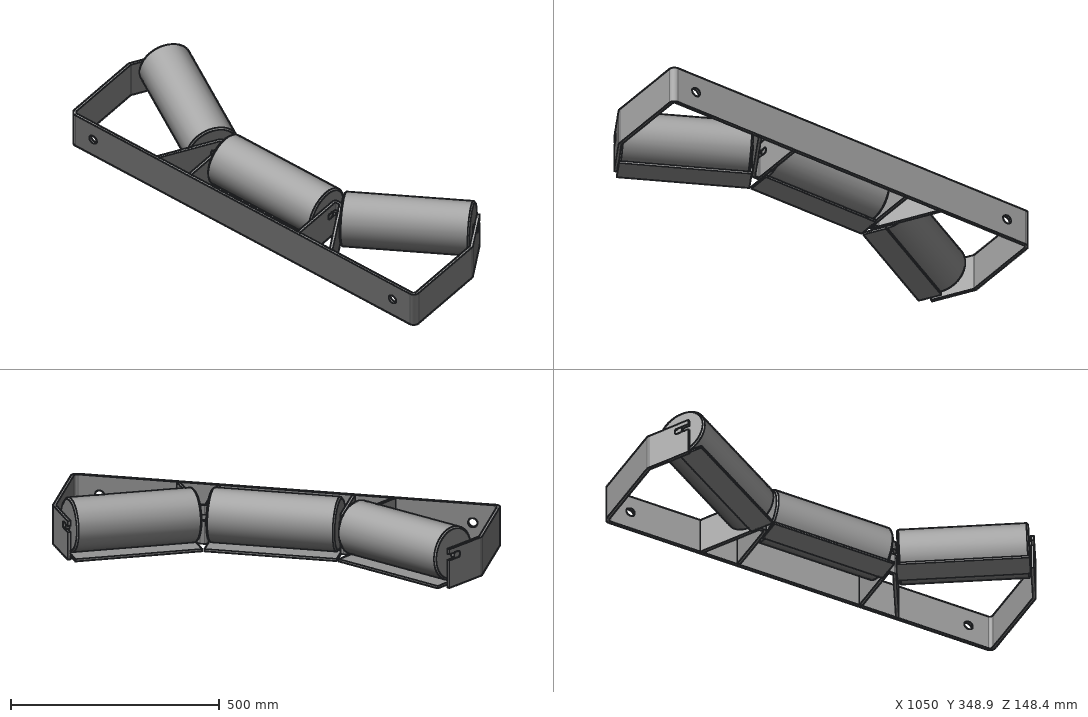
import cadquery as cq
import math

frame_length = 1050.0
frame_height = 99.0
strip_thickness = 7.0
bend_radius = 15.0
arm_depth = 225.0
wing_length = 115.0
bolt_hole_diameter = 23.0
bolt_hole_x = 457.0
bolt_hole_z = 50.0

roller_diameter = 132.0
roller_length = 315.0
roller_chamfer = 4.0
middle_center = (0.0, 127.0, 67.0)
side_center = (335.0, 215.0, 72.0)
swing_angle = 30.0
tilt_angle = 1.9

journal_diameter = 20.0
journal_flat_width = 16.0
journal_length = 10.0
slot_reach = 84.0

bracket_thickness = 7.0
support_gap = 162.0
bracket_depth = 151.0
bracket_bend_radius = 8.0

plate_width = 60.0
plate_thickness = 6.0
plate_overhang = support_gap - roller_length / 2

swing = math.radians(swing_angle)
roller_radius = roller_diameter / 2


def place(body, side):
    """Move a body from the roller's own axes (X along the roller) to side -1, 0 or +1."""
    if side == 0:
        return body.translate(middle_center)
    x, y, z = side_center
    tilted = body.rotate((0, 0, 0), (0, 1, 0), -side * tilt_angle)
    swung = tilted.rotate((0, 0, 0), (0, 0, 1), side * swing_angle)
    return swung.translate((side * x, y, z))


def make_rod(diameter, length):
    """Cylinder along X, centred on the origin."""
    return cq.Workplane("YZ").workplane(offset=-length / 2).circle(diameter / 2).extrude(length)


def make_journal_rod(length):
    """Shaft along X with a flat along its top and its bottom."""
    between_flats = cq.Workplane("XY").box(length, journal_diameter, journal_flat_width)
    return make_rod(journal_diameter, length).intersect(between_flats)


def make_roller(side):
    barrel = make_rod(roller_diameter, roller_length).faces("<X or >X").chamfer(roller_chamfer)
    shaft_length = roller_length + 2 * journal_length
    return place(barrel.union(make_journal_rod(shaft_length)), side)


def make_plate(side):
    bracket_ends = 2 if side == 0 else 1
    length = roller_length + bracket_ends * plate_overhang
    shift = -side * plate_overhang / 2
    plate = cq.Workplane("XY").box(
        length, plate_width, plate_thickness, centered=(True, False, False)
    )
    return place(plate.translate((shift, 0, -roller_radius - plate_thickness)), side)


def make_slot(side, end):
    """Cutter for the slot at one end (-1 or +1) of a roller, open towards the rear."""
    length = 2 * journal_length
    seat = make_journal_rod(length)
    channel = cq.Workplane("XY").box(
        length, slot_reach, journal_flat_width, centered=(True, False, True)
    )
    cutter = seat.union(channel)
    return place(cutter.translate((end * (roller_length / 2 + journal_length), 0, 0)), side)


def round_bends(strip, side, bends, radius):
    """Round the upright edges standing at the given points of the +X (or mirrored -X) half."""
    for x, y in bends:
        edge = cq.selectors.NearestToPointSelector((side * x, y, frame_height / 2))
        strip = strip.edges("|Z").edges(edge).fillet(radius)
    return strip


def make_frame():
    half = frame_length / 2
    t = strip_thickness
    tip_x = half - wing_length * math.sin(swing)
    tip_y = arm_depth + wing_length * math.cos(swing)
    right_side = [
        (half, 0),
        (half, arm_depth),
        (tip_x, tip_y),
        (tip_x - t * math.cos(swing), tip_y - t * math.sin(swing)),
        (half - t, arm_depth - t * math.tan(swing / 2)),
        (half - t, t),
    ]
    left_side = [(-x, y) for x, y in reversed(right_side)]
    frame = cq.Workplane("XY").polyline(right_side + left_side).close().extrude(frame_height)
    outer_bends = [(half, 0), (half, arm_depth)]
    inner_bends = [right_side[4], right_side[5]]
    for side in (-1, 1):
        frame = round_bends(frame, side, outer_bends, bend_radius)
        frame = round_bends(frame, side, inner_bends, bend_radius - t)
    holes = (
        cq.Workplane("XZ")
        .pushPoints([(-bolt_hole_x, bolt_hole_z), (bolt_hole_x, bolt_hole_z)])
        .circle(bolt_hole_diameter / 2)
        .extrude(-strip_thickness)
    )
    return frame.cut(holes).cut(make_slot(-1, -1)).cut(make_slot(1, 1))


def slanted_x(y, gap):
    """X at depth y of a line parallel to the +X roller's end, this far in front of its middle."""
    center_x, center_y, _ = side_center
    return center_x - (gap - (center_y - y) * math.sin(swing)) / math.cos(swing)


def make_bracket(side):
    t = bracket_thickness
    front = strip_thickness
    rear = bracket_depth
    outline = [
        (support_gap, front),
        (support_gap, rear),
        (slanted_x(rear, support_gap), rear),
        (slanted_x(front, support_gap), front),
        (slanted_x(front, support_gap + t), front),
        (slanted_x(rear - t, support_gap + t), rear - t),
        (support_gap + t, rear - t),
        (support_gap + t, front),
    ]
    points = [(side * x, y) for x, y in outline]
    bracket = cq.Workplane("XY").polyline(points).close().extrude(frame_height)
    bracket = round_bends(bracket, side, outline[1:3], bracket_bend_radius)
    bracket = round_bends(bracket, side, outline[5:7], bracket_bend_radius - t)
    bracket = bracket.cut(make_slot(0, side))
    return bracket.cut(make_slot(side, -side))


frame = make_frame()
brackets = [make_bracket(side) for side in (-1, 1)]
rollers = [make_roller(side) for side in (-1, 0, 1)]
plates = [make_plate(side) for side in (-1, 0, 1)]

bodies = [frame, *brackets, *rollers, *plates]
result = cq.Compound.makeCompound([body.val() for body in bodies])